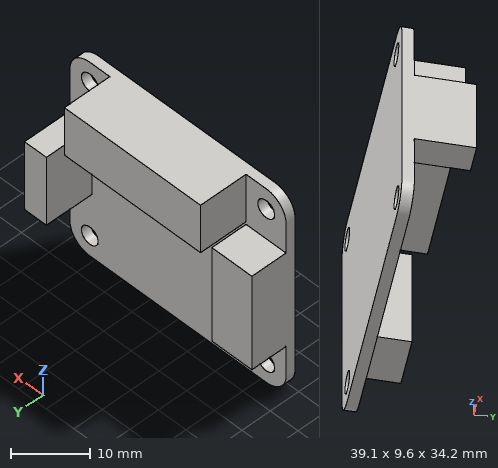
import cadquery as cq

plate_width = 39.1
plate_height = 34.2
plate_thickness = 1.6
corner_radius = 3.6
hole_diameter = 3.0

overall_depth = 9.6
tall_block_depth = overall_depth - plate_thickness
left_block_width = 7.25
left_block_height = 16.5
left_block_depth = 6.02
left_block_drop = 8.85
top_block_width = 24.65
top_block_height = 8.35
right_block_width = 4.0
right_block_height = 12.0
right_block_drop = 11.05

left_edge = -plate_width / 2
right_edge = plate_width / 2
top_edge = plate_height / 2


def make_plate():
    """Rounded plate with a through hole at each corner."""
    plate = cq.Workplane("XY").box(
        plate_width, plate_thickness, plate_height, centered=(True, False, True)
    )
    plate = plate.edges("|Y").fillet(corner_radius)
    hole_cutter = (
        cq.Workplane("XZ")
        .rect(plate_width - 2 * corner_radius, plate_height - 2 * corner_radius, forConstruction=True)
        .vertices()
        .circle(hole_diameter / 2)
        .extrude(-plate_thickness)
    )
    return plate.cut(hole_cutter)


def make_block(left, top, width, height, depth):
    """Block placed by its upper left corner, rising from the plate's +Y face.

    It starts at the plain face so that it overlaps the plate; no block reaches
    the rounded corners or the holes.
    """
    return cq.Workplane("XY").box(width, plate_thickness + depth, height, centered=False).translate(
        (left, 0, top - height)
    )


left_block = make_block(
    left_edge, top_edge - left_block_drop, left_block_width, left_block_height, left_block_depth
)
top_block = make_block(
    left_edge + left_block_width, top_edge, top_block_width, top_block_height, tall_block_depth
)
right_block = make_block(
    right_edge - right_block_width,
    top_edge - right_block_drop,
    right_block_width,
    right_block_height,
    tall_block_depth,
)

result = make_plate().union(left_block).union(top_block).union(right_block)